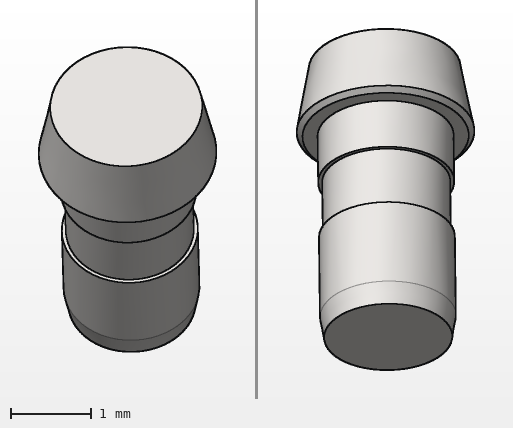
import cadquery as cq

top_diameter = 1.885
collar_diameter = 2.21
collar_base_diameter = 2.065
shank_diameter = 1.69
groove_diameter = 1.59
tip_diameter = 1.59

pin_length = 3.9
taper_height = 0.303
groove_bottom = 1.445
groove_top = 2.248
head_bottom = 2.915
collar_height = 2.98

lean_about_x = 0.48
lean_about_y = -0.93


def make_pin():
    """Revolve the half profile of the headed, grooved pin about Z."""
    return (
        cq.Workplane("XZ")
        .lineTo(tip_diameter / 2, 0)
        .lineTo(shank_diameter / 2, taper_height)
        .lineTo(shank_diameter / 2, groove_bottom)
        .lineTo(groove_diameter / 2, groove_bottom)
        .lineTo(groove_diameter / 2, groove_top)
        .lineTo(shank_diameter / 2, groove_top)
        .lineTo(shank_diameter / 2, head_bottom)
        .lineTo(collar_base_diameter / 2, head_bottom)
        .lineTo(collar_diameter / 2, collar_height)
        .lineTo(top_diameter / 2, pin_length)
        .lineTo(0, pin_length)
        .close()
        .revolve(360, (0, 0, 0), (0, 1, 0))
    )


def lean(pin):
    """Tilt the upright pin to its final attitude."""
    origin = (0, 0, 0)
    return pin.rotate(origin, (1, 0, 0), lean_about_x).rotate(origin, (0, 1, 0), lean_about_y)


result = lean(make_pin())